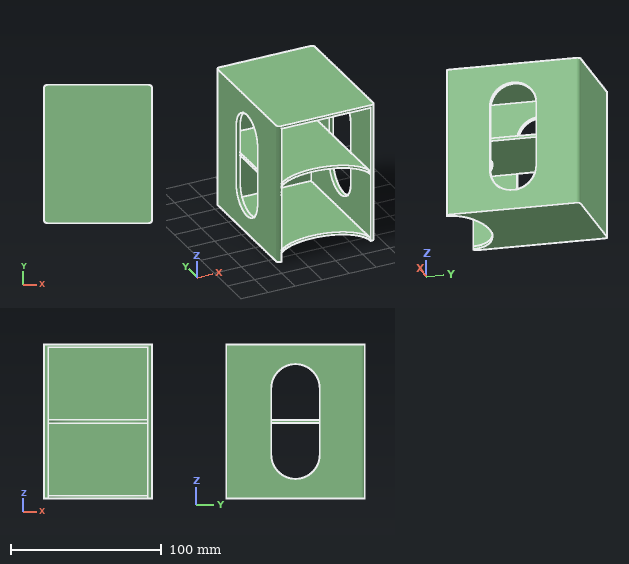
import cadquery as cq

width = 72.0
depth = 92.0
height = 102.5

side_wall = 3.0
back_wall = 2.5
plate = 2.0
corner_radius = 2.5

slot_width = 32.0
slot_height = 76.1

scoop_depth = 20.5

inner_width = width - 2 * side_wall
inner_depth = depth - back_wall
front = -depth / 2


def bay(floor_z, ceiling_z):
    """Empty space between two plates, open at the front."""
    return (
        cq.Workplane("XY", origin=(0, front + inner_depth / 2, floor_z))
        .rect(inner_width, inner_depth)
        .extrude(ceiling_z - floor_z)
    )


def shelf_scoop(bottom_z):
    """Ellipse centred on the front face; its rear half bites into one shelf."""
    return (
        cq.Workplane("XY", origin=(0, front, bottom_z))
        .ellipse(inner_width / 2, scoop_depth)
        .extrude(plate)
    )


def side_slots():
    """Upright stadium passing through both side walls, kept clear of the shelves."""
    slots = (
        cq.Workplane("YZ", origin=(0, 0, height / 2))
        .slot2D(slot_height, slot_width, 90)
        .extrude(width / 2, both=True)
    )
    interior = cq.Workplane("XY").box(inner_width, depth, height, centered=(True, True, False))
    return slots.cut(interior)


middle_shelf_z = (height - plate) / 2

result = (
    cq.Workplane("XY")
    .box(width, depth, height, centered=(True, True, False))
    .edges("|Z")
    .fillet(corner_radius)
    .cut(bay(plate, middle_shelf_z))
    .cut(bay(middle_shelf_z + plate, height - plate))
    .cut(side_slots())
)

for shelf_z in (0, middle_shelf_z):
    result = result.cut(shelf_scoop(shelf_z))